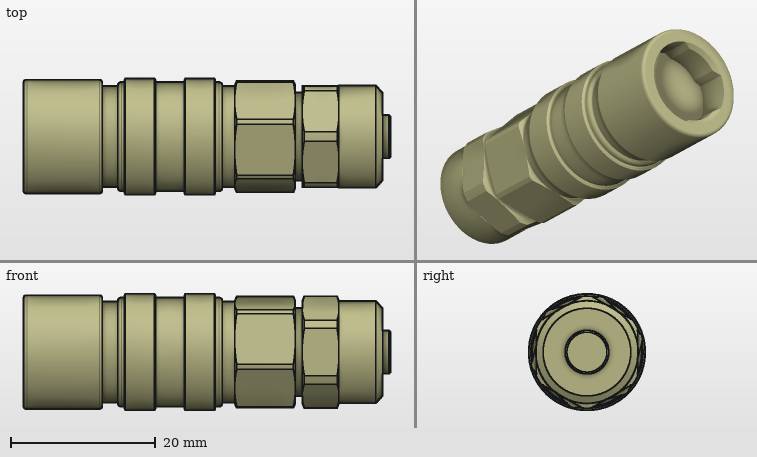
import cadquery as cq
import math

full_length = 50.75

sleeve_end = 10.9
body_start = 13.05
front_band_start = 13.95
front_band_end = 18.25
rear_band_start = 22.2
rear_band_end = 26.55
body_end = 27.5
big_hex_start = 29.25
big_hex_end = 37.55
nut_hex_start = 38.55
nut_hex_end = 43.6
nut_end = 49.6

sleeve_diameter = 15.8
neck_diameter = 14.0
body_diameter = 15.1
band_diameter = 16.15
rear_neck_diameter = 12.25
nut_diameter = 14.15
nut_end_diameter = 12.15
spigot_diameter = 6.05

sleeve_fillet = 0.45
body_fillet = 0.5
band_bevel_length = 0.15
band_bevel_height = 0.3
nut_bevel_length = 0.9
spigot_chamfer = 0.25

across_flats = 14.0
big_hex_corner_diameter = 15.8
nut_hex_corner_diameter = 15.5
hex_end_diameter = 14.2
hex_bevel_length = 0.25
big_hex_turn = 15.0
nut_hex_turn = 30.0

socket_diameter = 12.0
socket_depth = 4.85
pad_count = 3
pad_bore_diameter = 10.75
pad_chord_distance = 4.85
pad_lead_in = 0.5


def disc(start, end, diameter):
    """Cylinder on the X axis between two stations."""
    return cq.Workplane("YZ").workplane(offset=start).circle(diameter / 2).extrude(end - start)


def bevelled_disc(start, end, diameter, end_diameter, front_bevel, rear_bevel):
    """Cylinder whose ends taper to end_diameter; a bevel length of 0 leaves that end square."""
    radius = diameter / 2
    end_radius = end_diameter / 2
    outline = cq.Workplane("XY").moveTo(start, 0)
    if front_bevel:
        outline = outline.lineTo(start, end_radius)
    outline = outline.lineTo(start + front_bevel, radius).lineTo(end - rear_bevel, radius)
    if rear_bevel:
        outline = outline.lineTo(end, end_radius)
    return outline.lineTo(end, 0).close().revolve(360, (0, 0, 0), (1, 0, 0))


def hexagon(start, end, corner_diameter, turn):
    """Hexagonal prism with turned-down corners and bevelled ends."""
    sharp_corner_diameter = across_flats / math.cos(math.radians(30))
    base = cq.Workplane("YZ").workplane(offset=start).polygon(6, sharp_corner_diameter)
    prism = base.extrude(end - start).rotate((0, 0, 0), (1, 0, 0), turn)
    envelope = bevelled_disc(
        start, end, corner_diameter, hex_end_diameter, hex_bevel_length, hex_bevel_length
    )
    return prism.intersect(envelope)


def band(start, end):
    """Raised grip band with narrow bevels at both ends."""
    foot_diameter = band_diameter - 2 * band_bevel_height
    return bevelled_disc(start, end, band_diameter, foot_diameter, band_bevel_length, band_bevel_length)


def guide_pads():
    """Evenly spaced pads around the socket wall, with a conical lead-in at the mouth."""
    ring = disc(0, socket_depth, socket_diameter).cut(disc(0, socket_depth, pad_bore_diameter))
    lead_in = cq.Workplane("XY").polyline(
        [(0, 0), (0, socket_diameter / 2), (pad_lead_in, pad_bore_diameter / 2), (pad_lead_in, 0)]
    ).close().revolve(360, (0, 0, 0), (1, 0, 0))
    ring = ring.cut(lead_in)
    block = cq.Workplane("XY").box(
        socket_depth, socket_diameter, socket_diameter, centered=(False, False, True)
    ).translate((0, pad_chord_distance, 0))
    pads = cq.Workplane("XY")
    for index in range(pad_count):
        pad = ring.intersect(block.rotate((0, 0, 0), (1, 0, 0), index * 360 / pad_count))
        pads = pads.add(pad)
    return pads.combine()


sleeve = disc(0, sleeve_end, sleeve_diameter).edges().fillet(sleeve_fillet)
neck = disc(0, big_hex_start, neck_diameter)
body = disc(body_start, body_end, body_diameter).edges().fillet(body_fillet)

rear_neck = disc(big_hex_start, nut_hex_end, rear_neck_diameter)
nut = bevelled_disc(nut_hex_start, nut_end, nut_diameter, nut_end_diameter, 0, nut_bevel_length)
nut = nut.intersect(disc(nut_hex_end, nut_end, nut_diameter))
spigot = disc(nut_hex_end, full_length, spigot_diameter).faces(">X").chamfer(spigot_chamfer)

socket = disc(0, socket_depth, socket_diameter).cut(guide_pads())

result = (
    neck.union(sleeve)
    .union(body)
    .union(band(front_band_start, front_band_end))
    .union(band(rear_band_start, rear_band_end))
    .union(hexagon(big_hex_start, big_hex_end, big_hex_corner_diameter, big_hex_turn))
    .union(rear_neck)
    .union(hexagon(nut_hex_start, nut_hex_end, nut_hex_corner_diameter, nut_hex_turn))
    .union(nut)
    .union(spigot)
    .cut(socket)
)